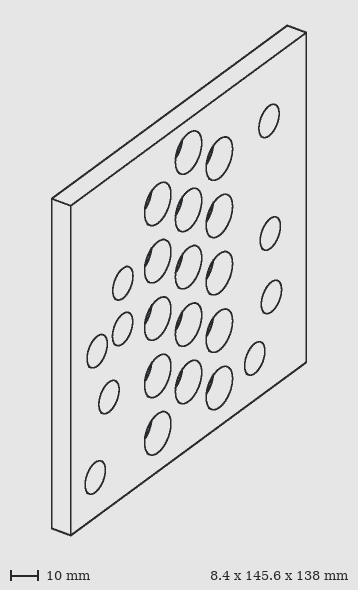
import cadquery as cq

thickness = 8.4
width = 145.63
height = 138.0

large_diameter = 16.25
column_spacing = 19.05
row_pitch = 24.0
rows_per_column = 5
middle_top_z = 55.0
side_top_z = middle_top_z - row_pitch / 2

small_diameter = 12.5
small_hole_centers = [
    (49.7, 43.5),
    (50.5, -4.0),
    (51.2, -30.9),
    (40.9, -51.5),
    (-40.6, 20.5),
    (-40.8, 1.5),
    (-56.5, 0.0),
    (-49.2, -22.8),
    (-57.7, -52.2),
]


def column_centers(y, top_z):
    """Hole centres of one grid column, from the top row down."""
    return [(y, top_z - row * row_pitch) for row in range(rows_per_column)]


def through_holes(centers, diameter):
    """Cylinders along X that span the plate thickness at the given (y, z) centres."""
    return (
        cq.Workplane("YZ", origin=(-thickness / 2, 0, 0))
        .pushPoints(centers)
        .circle(diameter / 2)
        .extrude(thickness)
    )


large_hole_centers = (
    column_centers(0, middle_top_z)
    + column_centers(column_spacing, side_top_z)
    + column_centers(-column_spacing, side_top_z)
)

plate = cq.Workplane("XY").box(thickness, width, height)
plate = plate.cut(through_holes(large_hole_centers, large_diameter))
result = plate.cut(through_holes(small_hole_centers, small_diameter))